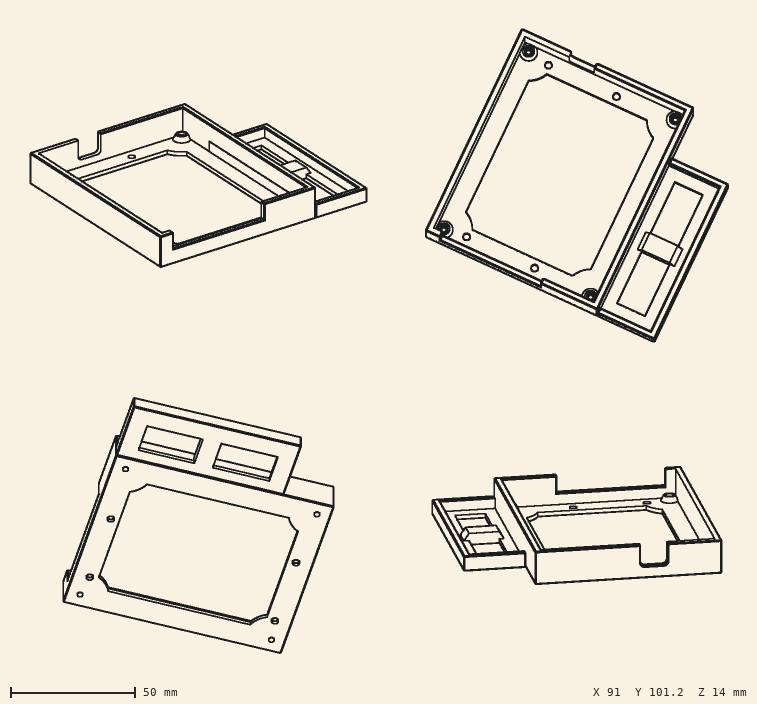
import cadquery as cq

tray_width = 91.0
tray_depth = 76.0
tray_height = 14.0
side_wall = 2.5
rear_wall = 2.8
floor = 1.8
bevel = 0.4

overall_depth = 101.2
annex_width = 69.9
annex_height = 6.4
annex_root_step = 0.1

window_left, window_right = 28.5, 83.1
window_front, window_rear = 81.0, 93.3
strap_left, strap_right = 52.1, 59.8
strap_front, strap_rear = 79.1, 95.4
strap_rise = 3.0

opening_margin = 10.4
corner_pad_radius = 11.4
boss_inset = 5.6
boss_base_radius = 3.5
boss_top_radius = 2.3
boss_height = 2.2
boss_hole_radius = 1.1
boss_sink_radius = 1.6
boss_sink_depth = 0.8

floor_hole_inset = 6.9
floor_hole_rows = (15.0, 45.0)
floor_hole_diameter = 2.8

left_notch_front, left_notch_rear = 22.1, 33.1
left_notch_bottom = 5.0
left_notch_radius = 1.8
right_notch_front, right_notch_rear = 6.5, 50.8
right_notch_bottom = 6.7

inner_right = tray_width - side_wall
inner_rear = tray_depth - rear_wall
annex_left = tray_width - annex_width


def block(x_range, y_range, z_range):
    """Box given by its range along each axis."""
    (x0, x1), (y0, y1), (z0, z1) = x_range, y_range, z_range
    box = cq.Workplane("XY").box(x1 - x0, y1 - y0, z1 - z0, centered=False)
    return box.translate((x0, y0, z0))


def edges_within(x_range, y_range, z_range):
    """Selector for the edges whose centre lies in a box, or on its surface."""
    margin = bevel / 2
    low = [r[0] - margin for r in (x_range, y_range, z_range)]
    high = [r[1] + margin for r in (x_range, y_range, z_range)]
    return cq.selectors.BoxSelector(low, high)


def make_tray():
    """Tray shell with its notched side walls and beveled edges."""
    full_x, full_y, full_z = (0, tray_width), (0, tray_depth), (0, tray_height)
    right_wall_x = (inner_right, tray_width)
    right_notch_y = (right_notch_front, right_notch_rear)

    shell = block(full_x, full_y, full_z)
    cavity = block((side_wall, inner_right), (side_wall, inner_rear), (floor, tray_height))
    left_notch = block(
        (0, side_wall), (left_notch_front, left_notch_rear), (left_notch_bottom, tray_height)
    )
    left_notch = left_notch.edges("|X and <Z").fillet(left_notch_radius)
    right_notch = block(right_wall_x, right_notch_y, (right_notch_bottom, tray_height))
    shell = shell.cut(cavity).cut(left_notch).cut(right_notch)

    left_face = edges_within((0, 0), full_y, full_z)
    right_face = edges_within((tray_width, tray_width), full_y, full_z)
    front_face = edges_within(full_x, (0, 0), full_z)
    rear_face = edges_within(full_x, (tray_depth, tray_depth), full_z)
    rim = edges_within(full_x, (left_notch_rear, tray_depth), (tray_height, tray_height))
    notch_end = edges_within(
        (inner_right + bevel, tray_width),
        (right_notch_front, right_notch_front),
        (tray_height, tray_height),
    )
    sill = edges_within(
        (inner_right, inner_right),
        (right_notch_front + bevel, right_notch_rear),
        (right_notch_bottom, tray_height - bevel),
    )
    beveled = left_face + right_face + front_face + rear_face + rim + notch_end + sill
    return shell.edges(beveled).chamfer(bevel)


def make_annex():
    """Annex shell, open towards the tray's rear wall, with a window in its floor."""
    full_x, full_y = (annex_left, tray_width), (tray_depth, overall_depth)
    cavity_x = (annex_left + side_wall, inner_right)
    cavity_y = (tray_depth, overall_depth - rear_wall)

    shell = block(full_x, full_y, (0, annex_height)).edges().chamfer(bevel)
    shell = shell.cut(block(cavity_x, cavity_y, (floor, annex_height)))
    rim = edges_within(cavity_x, (tray_depth + bevel, cavity_y[1]), (annex_height, annex_height))
    shell = shell.edges(rim).chamfer(bevel)

    window = block((window_left, window_right), (window_front, window_rear), (0, floor))
    return shell.cut(window)


def make_strap():
    """Strap over the window: flat on top, sloping to the annex floor at both ends."""
    strap_top = floor + strap_rise
    return (
        cq.Workplane("YZ", origin=(strap_left, 0, 0))
        .moveTo(strap_front, floor)
        .lineTo(window_front, strap_top)
        .lineTo(window_rear, strap_top)
        .lineTo(strap_rear, floor)
        .lineTo(window_rear, floor)
        .lineTo(window_rear, 0)
        .lineTo(window_front, 0)
        .lineTo(window_front, floor)
        .close()
        .extrude(strap_right - strap_left)
    )


def floor_discs(points, radius):
    """Discs as thick as the floor."""
    return cq.Workplane("XY").pushPoints(points).circle(radius).extrude(floor)


boss_points = [
    (x, y)
    for x in (boss_inset, tray_width - boss_inset)
    for y in (boss_inset, tray_depth - boss_inset)
]
floor_hole_points = [
    (x, y)
    for x in (floor_hole_inset, tray_width - floor_hole_inset)
    for y in floor_hole_rows
]

annex_root = block(
    (annex_left, inner_right), (inner_rear - annex_root_step, inner_rear), (floor, annex_height)
)
result = make_tray().union(make_annex()).union(annex_root).union(make_strap())

opening = block(
    (opening_margin, tray_width - opening_margin),
    (opening_margin, tray_depth - opening_margin),
    (0, floor),
)
opening = opening.cut(floor_discs(boss_points, corner_pad_radius))
result = result.cut(opening).cut(floor_discs(floor_hole_points, floor_hole_diameter / 2))

boss_top = floor + boss_height
sink_bottom = boss_top - boss_sink_depth
for x, y in boss_points:
    cone = cq.Solid.makeCone(boss_base_radius, boss_top_radius, boss_height, pnt=(x, y, floor))
    hole = cq.Solid.makeCylinder(boss_hole_radius, boss_top, pnt=(x, y, 0))
    sink = cq.Solid.makeCone(
        boss_hole_radius, boss_sink_radius, boss_sink_depth, pnt=(x, y, sink_bottom)
    )
    result = result.union(cq.Workplane(cone)).cut(cq.Workplane(hole)).cut(cq.Workplane(sink))